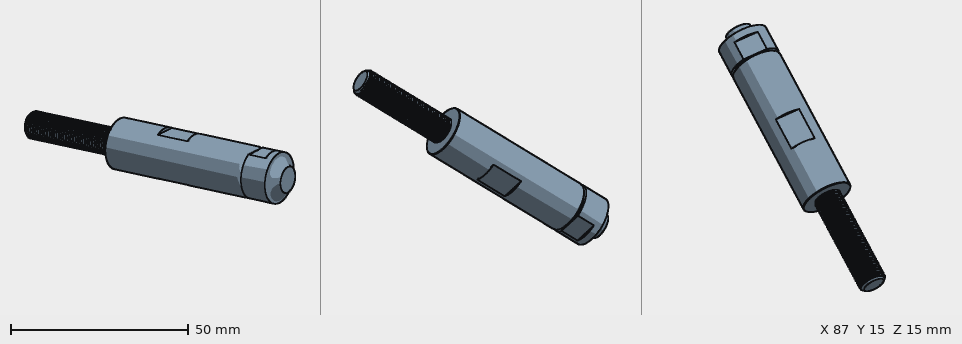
import cadquery as cq

total_length = 87.0
stud_length = 30.0
tail_length = 2.9
collar_start = 76.0
body_end = total_length - tail_length

body_radius = 7.5
flat_height = 6.5
stud_radius = 4.0
tail_end_radius = 3.8

thread_pitch = 0.8
thread_depth = 0.4
ridge_crest_width = 0.1
ridge_root_width = 0.765
ridge_embed = 0.04
core_radius = stud_radius - thread_depth
tip_chamfer = 0.9
stud_overlap = 0.9

shoulder_chamfer = 0.2
body_fillet = 1.05
relief_width = 0.3
relief_radius = body_radius - body_fillet
tail_arc_radius = 3.5

wrench_flat = (45.4, 55.4)
collar_flat = (collar_start, 81.9)


def thread_ridge(length):
    """Left-hand helical ridge of trapezoid section about the Z axis, rising from Z = 0."""
    root_radius = core_radius - ridge_embed
    section = [
        (root_radius, -ridge_root_width / 2),
        (stud_radius, -ridge_crest_width / 2),
        (stud_radius, ridge_crest_width / 2),
        (root_radius, ridge_root_width / 2),
    ]
    helices = [
        cq.Wire.makeHelix(thread_pitch, length, radius, lefthand=True).translate(cq.Vector(0, 0, offset))
        for radius, offset in section
    ]
    faces = [
        cq.Face.makeRuledSurface(helix, helices[i - 1])
        for i, helix in enumerate(helices)
    ]
    for end_point in (cq.Wire.startPoint, cq.Wire.endPoint):
        corners = [end_point(helix) for helix in helices]
        faces.append(cq.Face.makeFromWires(cq.Wire.makePolygon(corners, close=True)))
    return cq.Workplane(obj=cq.Solid.makeSolid(cq.Shell.makeShell(faces)))


def threaded_stud():
    """Core rod with a thread ridge, chamfered at the tip and sunk a little into the body."""
    length = stud_length + stud_overlap
    ridge = (
        thread_ridge(length + thread_pitch)
        .rotate((0, 0, 0), (0, 1, 0), 90)
        .translate((-thread_pitch, 0, 0))
    )
    envelope_radius = stud_radius + tip_chamfer
    tip_radius = stud_radius - tip_chamfer
    envelope = (
        cq.Workplane("XY")
        .moveTo(0, 0)
        .lineTo(0, tip_radius)
        .lineTo(envelope_radius - tip_radius, envelope_radius)
        .lineTo(length, envelope_radius)
        .lineTo(length, 0)
        .close()
        .revolve(360, (0, 0, 0), (1, 0, 0))
    )
    core = (
        cq.Workplane("YZ")
        .circle(core_radius)
        .extrude(length)
        .faces("<X")
        .chamfer(core_radius - tip_radius)
    )
    return core.union(ridge.intersect(envelope))


def turned_body():
    """Body, relief groove, collar and concave tail turned about the X axis."""
    fillet_end = collar_start - relief_width
    return (
        cq.Workplane("XY")
        .moveTo(stud_length, 0)
        .lineTo(stud_length, body_radius - shoulder_chamfer)
        .lineTo(stud_length + shoulder_chamfer, body_radius)
        .lineTo(fillet_end - body_fillet, body_radius)
        .radiusArc((fillet_end, relief_radius), body_fillet)
        .lineTo(collar_start, relief_radius)
        .lineTo(collar_start, body_radius)
        .lineTo(body_end, body_radius)
        .radiusArc((total_length, tail_end_radius), -tail_arc_radius)
        .lineTo(total_length, 0)
        .close()
        .revolve(360, (0, 0, 0), (1, 0, 0))
    )


def flat_pair(start, end):
    """Material removed by two opposed flats facing +Z and -Z."""
    length = end - start
    depth = body_radius - flat_height
    width = 2 * body_radius
    block = (
        cq.Workplane("XY")
        .box(length, width, depth, centered=(False, True, False))
        .translate((start, 0, flat_height))
    )
    return block.union(block.mirror("XY"))


body = turned_body()
for start, end in (wrench_flat, collar_flat):
    body = body.cut(flat_pair(start, end))

result = body.union(threaded_stud())